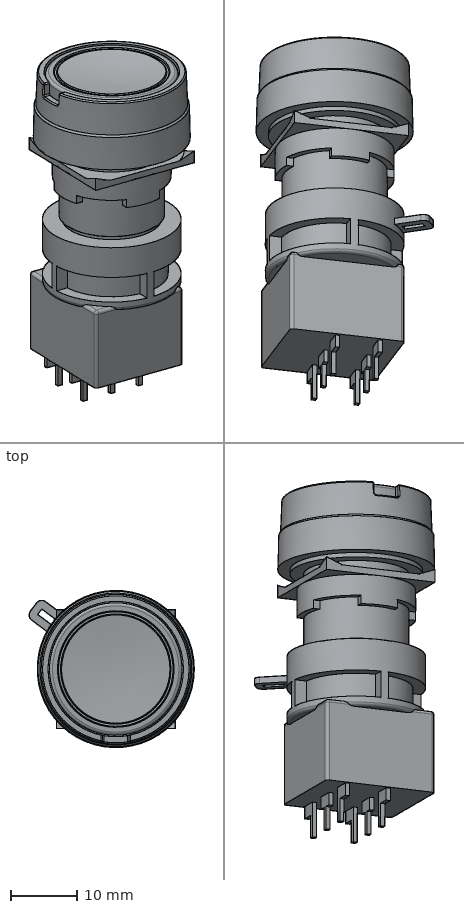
import cadquery as cq
import math


top_z = 52.5
bezel_step_z = 47.05
bezel_bottom_z = 41.6
head_bottom_z = 40.9
neck_bottom_z = 28.7
collar_top_z = 28.0
block_top_z = 18.2
collar_bottom_z = 17.5
block_bottom_z = 5.45

head_radius = 10.05
head_edge_fillet = 0.45
face_radius = 8.2
face_sag = 0.5
face_groove_width = 0.65
face_groove_chamfer = 0.15

neck_radius = 8.0
neck_chamfer = 0.25
spigot_radius = 7.5

collar_radius = 10.5
collar_fillet = 0.5
window_bottom_z = 18.95
window_height = 4.1
window_floor_radius = 8.55
window_post_width = 1.25

lever_angle = 37.0
lever_reach = 15.6
lever_width = 3.5
lever_bottom_z = 24.2
lever_thickness = 1.0
lever_corner_radius = 1.0
slot_start = 11.15
slot_end = 14.4
slot_width = 1.0

block_width = 18.0
block_depth = 15.95
block_fillet = 0.5
block_center_y = (block_depth - block_width) / 2

pin_column_xs = (-5.3, 1.45)
pin_rows = (-1, 0, 1)
pin_row_pitch = 5.05
pin_thickness = 0.7
blade_width = 2.85
blade_bottom_z = 3.5
tail_width = 0.8
outer_tail_shift = (blade_width - tail_width) / 2
outer_blade_offset = pin_row_pitch + outer_tail_shift

bezel_bottom_diameter = 23.8
bezel_bottom_radius = bezel_bottom_diameter / 2
bezel_shoulder_radius = 11.75
bezel_waist_radius = 11.5
bezel_top_radius = 11.3
bezel_step_height = 0.3
bezel_edge_chamfer = 0.2
bezel_gap = 0.2
notch_width = 4.0
notch_depth = 2.05
selection_margin = 0.05

plate_width = 18.0
plate_bottom_z = 38.45
plate_thickness = 1.0
corner_rise = 1.0
corner_start_radius = 10.95
nut_radius = plate_width / 2
nut_bottom_z = 33.85
tab_height = 1.3
tab_width = 6.05


def cylinder(radius, bottom_z, height):
    return cq.Workplane("XY").workplane(offset=bottom_z).circle(radius).extrude(height)


def box(size_x, size_y, bottom_z, height):
    base = cq.Workplane("XY").workplane(offset=bottom_z)
    return base.box(size_x, size_y, height, centered=(True, True, False))


def cross(arm_width, bottom_z, height):
    """Two crossed bars that span the collar along X and Y."""
    span = 2 * collar_radius
    return box(span, arm_width, bottom_z, height).union(box(arm_width, span, bottom_z, height))


def make_upper_body():
    """Head, neck and spigot as one turned profile."""
    groove_outer = face_radius + face_groove_width
    groove_middle = face_radius + face_groove_width / 2
    groove_bottom_z = top_z - face_groove_width / 2
    groove_chamfer_z = top_z - face_groove_chamfer
    sphere_radius = (face_radius**2 + face_sag**2) / (2 * face_sag)
    half_radius = face_radius / 2
    half_radius_z = top_z - face_sag + sphere_radius - math.sqrt(sphere_radius**2 - half_radius**2)
    fillet_middle = head_edge_fillet * (1 - math.sqrt(0.5))
    profile = (
        cq.Workplane("XZ")
        .moveTo(0, collar_top_z)
        .lineTo(spigot_radius, collar_top_z)
        .lineTo(spigot_radius, neck_bottom_z - neck_chamfer)
        .lineTo(neck_radius, neck_bottom_z)
        .lineTo(neck_radius, head_bottom_z)
        .lineTo(head_radius, head_bottom_z)
        .lineTo(head_radius, top_z - head_edge_fillet)
        .threePointArc(
            (head_radius - fillet_middle, top_z - fillet_middle),
            (head_radius - head_edge_fillet, top_z),
        )
        .lineTo(groove_outer, top_z)
        .lineTo(groove_outer - face_groove_chamfer, groove_chamfer_z)
        .threePointArc(
            (groove_middle, groove_bottom_z),
            (face_radius + face_groove_chamfer, groove_chamfer_z),
        )
        .lineTo(face_radius, top_z)
        .threePointArc((half_radius, half_radius_z), (0, top_z - face_sag))
        .close()
    )
    return profile.revolve(360, (0, 0, 0), (0, 1, 0))


def make_collar():
    collar = cylinder(collar_radius, collar_bottom_z, collar_top_z - collar_bottom_z)
    collar = collar.faces("<Z").edges().fillet(collar_fillet)
    windows = (
        cylinder(collar_radius, window_bottom_z, window_height)
        .cut(cylinder(window_floor_radius, window_bottom_z, window_height))
        .cut(cross(window_post_width, window_bottom_z, window_height))
    )
    return collar.cut(windows)


def make_lever():
    """Flat radial lever with a slot, rooted inside the solid part of the collar."""
    root = window_floor_radius
    slot_middle = (slot_start + slot_end) / 2
    lever = box(lever_reach - root, lever_width, lever_bottom_z, lever_thickness)
    lever = lever.edges("|Z and >X").fillet(lever_corner_radius)
    lever = lever.translate(((root + lever_reach) / 2, 0, 0))
    slot = box(slot_end - slot_start, slot_width, lever_bottom_z, lever_thickness)
    lever = lever.cut(slot.translate((slot_middle, 0, 0)))
    return lever.rotate((0, 0, 0), (0, 0, 1), 180 - lever_angle)


def make_block():
    block = box(block_width, block_depth, block_bottom_z, block_top_z - block_bottom_z)
    return block.edges("|Z or >Z").fillet(block_fillet).translate((0, block_center_y, 0))


def make_pin(x, tail_y, blade_y):
    blade = box(pin_thickness, blade_width, blade_bottom_z, block_bottom_z - blade_bottom_z)
    tail = box(pin_thickness, tail_width, 0, block_bottom_z)
    return blade.translate((x, blade_y, 0)).union(tail.translate((x, tail_y, 0)))


def make_operator():
    operator = make_upper_body().union(make_collar()).union(make_block()).union(make_lever())
    for x in pin_column_xs:
        for row in pin_rows:
            tail_y = block_center_y + row * pin_row_pitch
            blade_y = block_center_y + row * outer_blade_offset
            operator = operator.union(make_pin(x, tail_y, blade_y))
    return operator


def make_bezel():
    """Stepped, tapered ring that grips the lower half of the head and clears its upper half."""
    gap_radius = head_radius + bezel_gap
    bezel = (
        cq.Workplane("XZ")
        .moveTo(head_radius, bezel_bottom_z)
        .lineTo(bezel_bottom_radius, bezel_bottom_z)
        .lineTo(bezel_shoulder_radius, bezel_step_z - bezel_step_height / 2)
        .lineTo(bezel_waist_radius, bezel_step_z + bezel_step_height / 2)
        .lineTo(bezel_top_radius, top_z)
        .lineTo(gap_radius, top_z)
        .lineTo(gap_radius, bezel_step_z)
        .lineTo(head_radius, bezel_step_z)
        .close()
        .revolve(360, (0, 0, 0), (0, 1, 0))
    )
    notch_floor_z = top_z - notch_depth
    notch = box(notch_width, bezel_bottom_radius, notch_floor_z, notch_depth)
    bezel = bezel.cut(notch.translate((0, -bezel_bottom_radius, 0)))
    rim_edge = bezel.faces(">Z").edges(cq.selectors.RadiusNthSelector(-1))
    half_width = notch_width / 2 + selection_margin
    notch_edges = bezel.edges(
        cq.selectors.BoxSelector(
            (-half_width, -bezel_bottom_radius, notch_floor_z - selection_margin),
            (half_width, -gap_radius, top_z + selection_margin),
        )
    )
    return rim_edge.add(notch_edges).chamfer(bezel_edge_chamfer)


def make_nut():
    """Square plate with raised corners above a round collar that ends in four tabs."""
    corner_radius = plate_width / math.sqrt(2)
    plate_top_z = plate_bottom_z + plate_thickness
    plate = box(plate_width, plate_width, plate_bottom_z, plate_thickness + corner_rise)
    dish = (
        cq.Workplane("XZ")
        .moveTo(0, plate_top_z)
        .lineTo(corner_start_radius, plate_top_z)
        .lineTo(corner_radius, plate_top_z + corner_rise)
        .lineTo(0, plate_top_z + corner_rise)
        .close()
        .revolve(360, (0, 0, 0), (0, 1, 0))
    )
    tab_top_z = nut_bottom_z + tab_height
    tabs = cylinder(nut_radius, nut_bottom_z, tab_height)
    tabs = tabs.intersect(cross(tab_width, nut_bottom_z, tab_height))
    collar = cylinder(nut_radius, tab_top_z, plate_bottom_z - tab_top_z)
    bore = cylinder(neck_radius, nut_bottom_z, top_z - nut_bottom_z)
    return plate.cut(dish).union(collar).union(tabs).cut(bore)


operator = make_operator()
bezel = make_bezel()
nut = make_nut()

result = cq.Compound.makeCompound([operator.val(), bezel.val(), nut.val()])